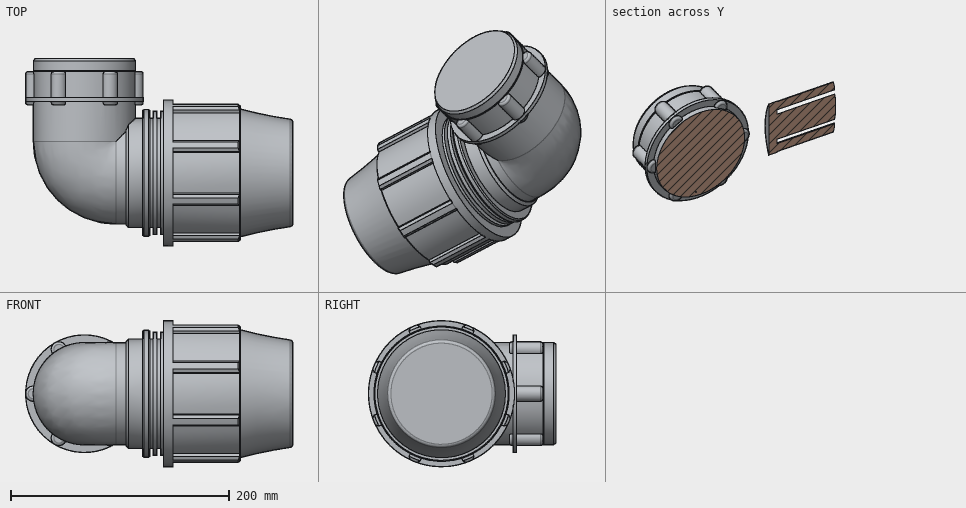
import cadquery as cq
import math


pipe_radius = 93.89 / 2
bend_center = 29.0

socket_end = 105.0
socket_edge_length = 2.5
socket_edge_depth = 1.6
groove_start = 92.9
groove_end = 93.7
groove_depth = 0.5
socket_flange_radius = 107.98 / 2
socket_flange_start = 65.5
socket_flange_end = 68.9
lug_count = 6
lug_radius = 7.0
lug_reach = 53.9
lug_start = 62.2
lug_end = groove_start
lug_edge_fillet = 2.4

collar_radius = 100.5 / 2
collar_start = 38.0
collar_chamfer = 2.5
bead_radius = 116.58 / 2
bead_start = 53.3
bead_end = 60.0
bead_chamfer_length = 1.5
bead_chamfer_depth = 0.9
thread_radius = 113.08 / 2
thread_start = 62.9
thread_end = 66.4
last_thread_start = 69.8

nut_start = 72.3
nut_flange_radius = 134.0 / 2
nut_flange_end = 81.3
nut_body_radius = 62.0
nut_body_end = 143.2
nut_body_chamfer = 0.9
rib_count = 8
rib_half_width = 5.5
rib_chamfer = 2.5
rib_end_chamfer_length = 1.4

nose_start_radius = 58.6
nose_end_radius = 49.0
nose_sag = 0.8
nut_end = 191.0
nose_edge_fillet = 3.0


def make_elbow():
    """Two straight pipes that mitre at the inner corner and a tight bend outside it."""
    socket_pipe = (
        cq.Workplane("XZ", origin=(0, bend_center, 0))
        .circle(pipe_radius)
        .extrude(bend_center - socket_end)
        .faces(">Y")
        .chamfer(socket_edge_length, socket_edge_depth)
    )
    nut_pipe = (
        cq.Workplane("YZ", origin=(bend_center, 0, 0))
        .circle(pipe_radius)
        .extrude(collar_start + collar_chamfer - bend_center)
    )
    half_height = math.sqrt(pipe_radius**2 - bend_center**2)
    bend = (
        cq.Workplane("XZ", origin=(0, bend_center, 0))
        .moveTo(bend_center, -half_height)
        .threePointArc((-pipe_radius, 0), (bend_center, half_height))
        .close()
        .revolve(90, (bend_center, 0), (bend_center, 1))
    )
    return bend.union(socket_pipe).union(nut_pipe)


def cut_socket_groove(body):
    """Shallow groove round the socket just above the lugs."""
    groove = (
        cq.Workplane("XZ", origin=(0, groove_start, 0))
        .circle(socket_flange_radius)
        .circle(pipe_radius - groove_depth)
        .extrude(groove_start - groove_end)
    )
    return body.cut(groove)


def add_socket_flange_and_lugs(body):
    """Thin flange round the socket, crossed by edge-rounded lugs parallel to its axis."""
    flange = (
        cq.Workplane("XZ", origin=(0, socket_flange_start, 0))
        .circle(socket_flange_radius)
        .extrude(socket_flange_start - socket_flange_end)
    )
    body = body.union(flange)
    lug = (
        cq.Workplane("XZ", origin=(lug_reach - lug_radius, lug_start, 0))
        .circle(lug_radius)
        .extrude(lug_start - lug_end)
        .edges()
        .fillet(lug_edge_fillet)
    )
    for index in range(lug_count):
        body = body.union(lug.rotate((0, 0, 0), (0, 1, 0), index * 360 / lug_count))
    return body


def make_threaded_body_and_nut():
    """Turned profile from the collar to the open end of the nut."""
    middle_x = (nut_body_end + nut_end) / 2
    middle_radius = (nose_start_radius + nose_end_radius) / 2 - nose_sag
    profile = (
        cq.Workplane("XY")
        .moveTo(collar_start, 0)
        .lineTo(collar_start, collar_radius - collar_chamfer)
        .lineTo(collar_start + collar_chamfer, collar_radius)
        .lineTo(bead_start, collar_radius)
        .lineTo(bead_start, bead_radius - bead_chamfer_depth)
        .lineTo(bead_start + bead_chamfer_length, bead_radius)
        .lineTo(bead_end - bead_chamfer_length, bead_radius)
        .lineTo(bead_end, bead_radius - bead_chamfer_depth)
        .lineTo(bead_end, collar_radius)
        .lineTo(thread_start, collar_radius)
        .lineTo(thread_start, thread_radius)
        .lineTo(thread_end, thread_radius)
        .lineTo(thread_end, collar_radius)
        .lineTo(last_thread_start, collar_radius)
        .lineTo(last_thread_start, thread_radius)
        .lineTo(nut_start, thread_radius)
        .lineTo(nut_start, nut_flange_radius)
        .lineTo(nut_flange_end, nut_flange_radius)
        .lineTo(nut_flange_end, nut_body_radius)
        .lineTo(nut_body_end - nut_body_chamfer, nut_body_radius)
        .lineTo(nut_body_end, nut_body_radius - nut_body_chamfer)
        .lineTo(nut_body_end, nose_start_radius)
        .threePointArc((middle_x, middle_radius), (nut_end, nose_end_radius))
        .lineTo(nut_end, 0)
        .close()
    )
    turned = profile.revolve(360, (0, 0), (1, 0))
    return turned.faces(">X").edges().fillet(nose_edge_fillet)


def make_rib_envelope():
    """Turned volume that gives the ribs their rounded top and sloping end."""
    rib_end = nut_body_end - nut_body_chamfer
    return (
        cq.Workplane("XY")
        .moveTo(nut_flange_end, 0)
        .lineTo(nut_flange_end, nut_flange_radius)
        .lineTo(rib_end - rib_end_chamfer_length, nut_flange_radius)
        .lineTo(rib_end, nut_flange_radius - rib_chamfer)
        .lineTo(rib_end, 0)
        .close()
        .revolve(360, (0, 0), (1, 0))
    )


def add_nut_ribs(body):
    """Lengthwise grip ribs with chamfered long edges, as high as the nut flange."""
    chamfer_base = nut_flange_radius - rib_chamfer
    rib_bar = (
        cq.Workplane("YZ", origin=(nut_flange_end, 0, 0))
        .moveTo(-rib_half_width, nose_end_radius)
        .lineTo(-rib_half_width, chamfer_base)
        .lineTo(0, chamfer_base + rib_half_width)
        .lineTo(rib_half_width, chamfer_base)
        .lineTo(rib_half_width, nose_end_radius)
        .close()
        .extrude(nut_body_end - nut_flange_end)
    )
    rib = rib_bar.intersect(make_rib_envelope())
    pitch = 360 / rib_count
    for index in range(rib_count):
        body = body.union(rib.rotate((0, 0, 0), (1, 0, 0), (index + 0.5) * pitch))
    return body


elbow = add_socket_flange_and_lugs(cut_socket_groove(make_elbow()))
result = elbow.union(add_nut_ribs(make_threaded_body_and_nut()))